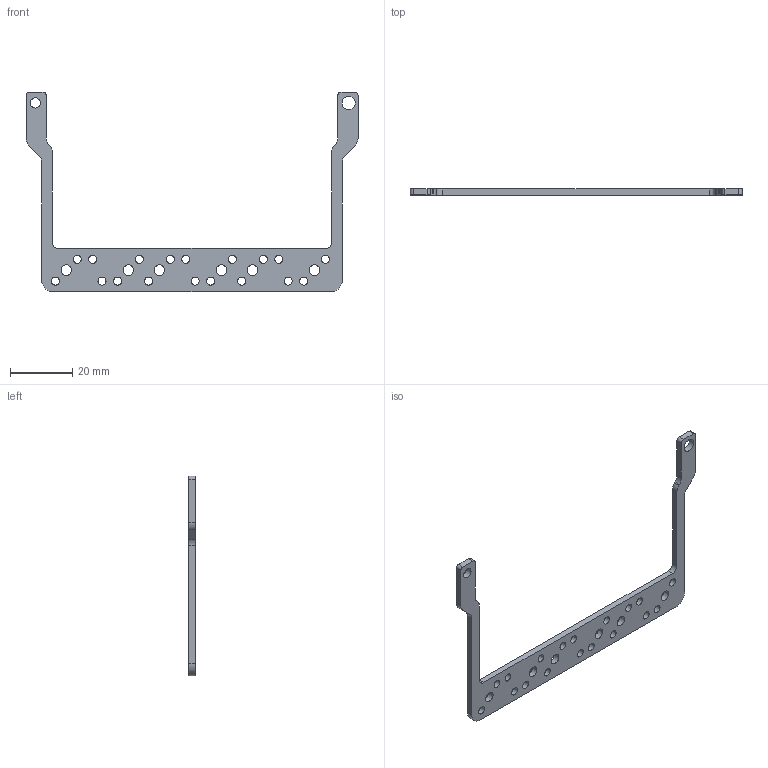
import cadquery as cq

width = 107.0
height = 64.4
thickness = 2.0

frame_width = 97.0
arm_width = 3.5
bar_height = 14.0

tab_width = 6.5
jog_outer_top = 48.2
jog_inner_top = 48.4

tab_tip_radius = 1.0
jog_radius = 3.0
bar_corner_radius = 4.0
inside_corner_radius = 2.0

tab_hole_x = 50.5
tab_hole_drop = 3.5
left_tab_hole_diameter = 3.3
right_tab_hole_diameter = 4.3

group_count = 3
group_pitch = 30.0
pattern_center_x = -0.5
row_spacing = 3.5
large_hole_offset = 10.0
small_hole_offsets = (-6.5, -1.5, 13.5)
large_hole_diameter = 3.4
small_hole_diameter = 2.6

tab_outer_x = width / 2
tab_inner_x = tab_outer_x - tab_width
arm_outer_x = frame_width / 2
arm_inner_x = arm_outer_x - arm_width
jog_outer_bottom = jog_outer_top - (tab_outer_x - arm_outer_x)
jog_inner_bottom = jog_inner_top - (tab_inner_x - arm_inner_x)
tab_hole_z = height - tab_hole_drop
bar_hole_z = bar_height / 2


def make_frame():
    """Extruded U outline with its corners rounded."""
    right_corners = [
        (arm_outer_x, 0, bar_corner_radius),
        (arm_outer_x, jog_outer_bottom, jog_radius),
        (tab_outer_x, jog_outer_top, jog_radius),
        (tab_outer_x, height, tab_tip_radius),
        (tab_inner_x, height, tab_tip_radius),
        (tab_inner_x, jog_inner_top, jog_radius),
        (arm_inner_x, jog_inner_bottom, jog_radius),
        (arm_inner_x, bar_height, inside_corner_radius),
    ]
    left_corners = [(-x, z, radius) for x, z, radius in reversed(right_corners)]
    corners = right_corners + left_corners
    outline = [(x, z) for x, z, _ in corners]
    frame = cq.Workplane("XZ").polyline(outline).close().extrude(-thickness)
    for x, z, radius in corners:
        edge_point = (x, thickness / 2, z)
        frame = frame.edges(cq.selectors.NearestToPointSelector(edge_point)).fillet(radius)
    return frame


def drill(body, points, diameter):
    """Cut round through holes along Y at the given (x, z) points."""
    pins = cq.Workplane("XZ").pushPoints(points).circle(diameter / 2).extrude(-thickness)
    return body.cut(pins)


def bar_hole_points():
    """Return the large and small hole centres of the bar."""
    large_points = []
    small_points = []
    for index in range(group_count):
        center_x = pattern_center_x + (index - (group_count - 1) / 2) * group_pitch
        for side in (-1, 1):
            large_points.append((center_x + side * large_hole_offset, bar_hole_z))
            for offset in small_hole_offsets:
                small_points.append((center_x + side * offset, bar_hole_z + side * row_spacing))
    return large_points, small_points


large_hole_points, small_hole_points = bar_hole_points()
result = make_frame()
result = drill(result, large_hole_points, large_hole_diameter)
result = drill(result, small_hole_points, small_hole_diameter)
result = drill(result, [(-tab_hole_x, tab_hole_z)], left_tab_hole_diameter)
result = drill(result, [(tab_hole_x, tab_hole_z)], right_tab_hole_diameter)